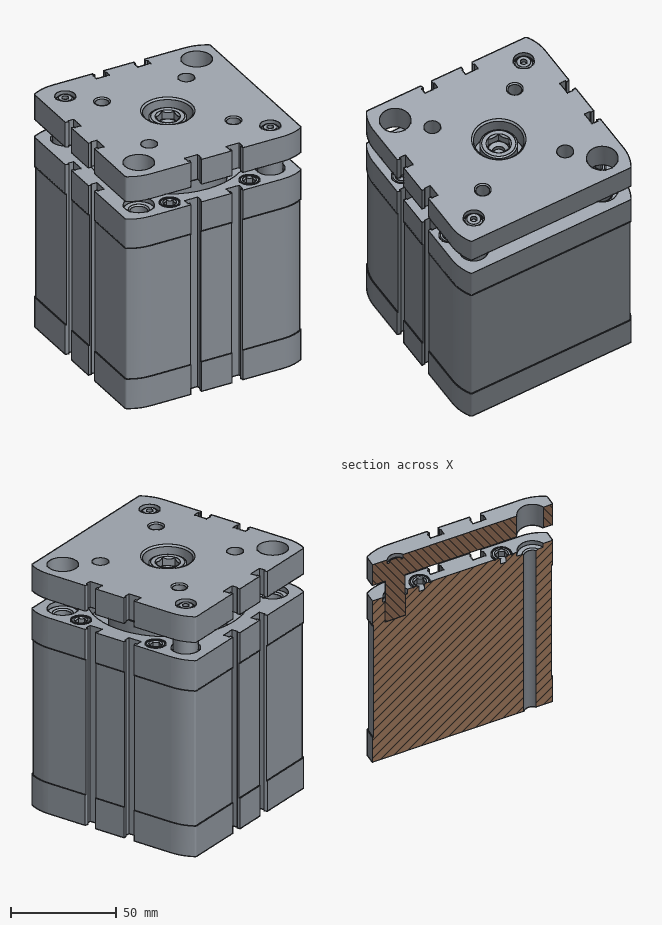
import cadquery as cq
import math


width = 95.5
half_width = width / 2
total_height = 127.4
plate_thickness = 13.6
plate_gap = 9.7
cap_height = 16.2
plate_bottom = total_height - plate_thickness
housing_height = plate_bottom - plate_gap
profile_inset = 0.5
profile_height = housing_height - 2 * cap_height

corner_arc_radius = 23.0
corner_arc_start_y = 35.75
corner_fillet_radius = 1.2

slot_spacing = 22.5
slot_depth = 4.9
slot_lip = 1.7
slot_mouth_inner_edge = 8.3
slot_mouth_outer_edge = 13.7
slot_mouth_flare = 0.5
slot_inner_width = 7.0
slot_side_angles = (-90, 0, 180)

rod_diameter = 20.0
rod_flats_width = 17.0
rod_flats_height = 7.2
rod_ledge_drop = 1.1
guide_diameter = 12.0
guide_clearance_diameter = 14.0
guide_clearance_depth = 3.0
rod_engagement = cap_height
corner_hole_offset = 35.7
guide_points = [(-corner_hole_offset, -corner_hole_offset), (corner_hole_offset, corner_hole_offset)]
mount_points = [(-corner_hole_offset, corner_hole_offset), (corner_hole_offset, -corner_hole_offset)]

mount_access_diameter = 15.0
mount_recess_diameter = 14.8
mount_recess_depth = 2.5
mount_thread_diameter = 10.0
mount_hole_diameter = 8.5

ring_groove_outer_diameter = 77.0
ring_groove_inner_diameter = 56.0
ring_groove_depth = 15.0

plate_hole_offset = 22.9
plate_hole_diameter = 8.0
plate_thread_diameter = 6.65
tapped_points = [(-plate_hole_offset, -plate_hole_offset), (plate_hole_offset, plate_hole_offset)]
dowel_points = [(-plate_hole_offset, plate_hole_offset), (plate_hole_offset, -plate_hole_offset)]

recess_diameter = 24.0
recess_depth = 11.0
recess_chamfer = 0.9
screw_head_diameter = 18.0
screw_head_sink = 3.0
screw_head_top_diameter = 16.2
screw_head_bevel_height = 0.5
screw_socket_flats = 10.0
screw_socket_depth = 4.5
screw_socket_rim_diameter = 12.0
screw_funnel_depth = 1.2
screw_bore_diameter = 6.0
screw_bore_depth = 2.0
drill_point_half_angle = 59.0

guide_recess_diameter = 10.0
guide_recess_depth = 2.5
guide_head_diameter = 8.38
guide_head_top_diameter = 6.65
guide_head_sink = 0.8
guide_socket_diameter = 3.2
guide_socket_depth = 2.0

cap_screw_x = 40.6
cap_screw_y = 21.65
cap_screw_diameter = 10.0
cap_screw_groove = 0.7
cap_screw_socket_flats = 5.0
cap_screw_socket_rim_diameter = 6.6
cap_screw_socket_depth = 4.0
cap_screw_points = [(sx * cap_screw_x, sy * cap_screw_y) for sx in (-1, 1) for sy in (-1, 1)]


def cylinders(points, diameter, bottom, height):
    return cq.Workplane("XY", origin=(0, 0, bottom)).pushPoints(points).circle(diameter / 2).extrude(height)


def cones(points, bottom_diameter, top_diameter, bottom, height):
    cone = cq.Solid.makeCone(bottom_diameter / 2, top_diameter / 2, height)
    return cq.Workplane("XY", origin=(0, 0, bottom)).pushPoints(points).eachpoint(cone.moved, combine=True)


def hex_sockets(points, flats, top, depth):
    across_corners = flats / math.cos(math.pi / 6)
    sketch = cq.Workplane("XY", origin=(0, 0, top)).pushPoints(points)
    return sketch.polygon(6, across_corners).extrude(-depth)


def block(bottom, height, inset=0.0):
    """Square block whose X sides curve in towards the corners."""
    arc_end_angle = math.asin((half_width - corner_arc_start_y) / corner_arc_radius)
    arc_centre_x = half_width - corner_arc_radius

    def arc_point(angle):
        return (
            arc_centre_x + corner_arc_radius * math.cos(angle),
            corner_arc_start_y + corner_arc_radius * math.sin(angle),
        )

    start, middle, end = (arc_point(share * arc_end_angle) for share in (0, 0.5, 1))

    def mirrored(point, sx, sy):
        return (sx * point[0], sy * point[1])

    outline = (
        cq.Workplane("XY", origin=(0, 0, bottom))
        .moveTo(*mirrored(start, 1, -1))
        .lineTo(*start)
        .threePointArc(middle, end)
        .lineTo(*mirrored(end, -1, 1))
        .threePointArc(mirrored(middle, -1, 1), mirrored(start, -1, 1))
        .lineTo(*mirrored(start, -1, -1))
        .threePointArc(mirrored(middle, -1, -1), mirrored(end, -1, -1))
        .lineTo(*mirrored(end, 1, -1))
        .threePointArc(mirrored(middle, 1, -1), mirrored(start, 1, -1))
        .close()
    )
    if inset:
        outline = outline.offset2D(-inset)
    solid = outline.extrude(height)
    return solid.faces("<Y or >Y").edges("|Z").fillet(corner_fillet_radius)


def slots(bottom, height):
    """T-slots, two on each slotted side, as one cutter."""
    floor_x = half_width - slot_depth
    lip_x = half_width - slot_lip
    chamber_inner_y = (slot_spacing - slot_inner_width) / 2
    chamber_outer_y = (slot_spacing + slot_inner_width) / 2
    slot = (
        cq.Workplane("XY", origin=(0, 0, bottom))
        .moveTo(floor_x, chamber_inner_y)
        .lineTo(lip_x, chamber_inner_y)
        .lineTo(lip_x, slot_mouth_inner_edge)
        .lineTo(half_width, slot_mouth_inner_edge)
        .lineTo(half_width, slot_mouth_outer_edge + slot_mouth_flare)
        .lineTo(lip_x, slot_mouth_outer_edge)
        .lineTo(lip_x, chamber_outer_y)
        .lineTo(floor_x, chamber_outer_y)
        .close()
        .extrude(height)
    )
    pair = slot.add(slot.mirror("XZ")).combine()
    cutter = cq.Workplane("XY")
    for angle in slot_side_angles:
        cutter = cutter.add(pair.rotate((0, 0, 0), (0, 0, 1), angle))
    return cutter.combine()


def make_housing():
    body = block(0, cap_height)
    body = body.union(block(cap_height, profile_height, profile_inset))
    body = body.union(block(cap_height + profile_height, cap_height))
    body = body.cut(slots(0, housing_height))

    rod_end = housing_height - rod_engagement
    body = body.cut(cylinders([(0, 0)], rod_diameter, rod_end, rod_engagement))
    body = body.cut(cylinders(guide_points, guide_diameter, rod_end, rod_engagement))
    clearance_floor = housing_height - guide_clearance_depth
    body = body.cut(cylinders(guide_points, guide_clearance_diameter, clearance_floor, guide_clearance_depth))

    groove_floor = housing_height - ring_groove_depth
    ring = cylinders([(0, 0)], ring_groove_outer_diameter, groove_floor, ring_groove_depth)
    hub = cylinders([(0, 0)], ring_groove_inner_diameter, groove_floor, ring_groove_depth)
    body = body.cut(ring.cut(hub))

    recess_floor = housing_height - mount_recess_depth
    countersink = (mount_thread_diameter - mount_hole_diameter) / 2
    body = body.cut(cylinders(mount_points, mount_hole_diameter, 0, housing_height))
    body = body.cut(cylinders(mount_points, mount_recess_diameter, recess_floor, mount_recess_depth))
    countersink_floor = recess_floor - countersink
    body = body.cut(
        cones(mount_points, mount_hole_diameter, mount_thread_diameter, countersink_floor, countersink)
    )

    head_base = housing_height - cap_screw_groove
    head_top_diameter = cap_screw_diameter - 2 * cap_screw_groove
    heads = cones(cap_screw_points, cap_screw_diameter, head_top_diameter, head_base, cap_screw_groove)
    grooves = cylinders(cap_screw_points, cap_screw_diameter, head_base, cap_screw_groove).cut(heads)
    body = body.cut(grooves)
    rim_depth = (cap_screw_socket_rim_diameter - cap_screw_socket_flats) / 2
    rim_floor = housing_height - rim_depth
    body = body.cut(
        cones(cap_screw_points, cap_screw_socket_flats, cap_screw_socket_rim_diameter, rim_floor, rim_depth)
    )
    return body.cut(
        hex_sockets(cap_screw_points, cap_screw_socket_flats, housing_height, cap_screw_socket_depth)
    )


def rod_flat_cutter():
    """Cuts one wrench flat on the -Y side; its ledge slopes down to the outside."""
    flat_y = -rod_flats_width / 2
    edge_y = -rod_diameter / 2
    ledge_z = plate_bottom - rod_flats_height
    return (
        cq.Workplane("YZ", origin=(-rod_diameter / 2, 0, 0))
        .moveTo(flat_y, plate_bottom)
        .lineTo(flat_y, ledge_z)
        .lineTo(edge_y, ledge_z - rod_ledge_drop)
        .lineTo(edge_y, plate_bottom)
        .close()
        .extrude(rod_diameter)
    )


def make_rods():
    rod_end = housing_height - rod_engagement
    length = plate_bottom - rod_end
    flat = rod_flat_cutter()
    piston_rod = cylinders([(0, 0)], rod_diameter, rod_end, length)
    piston_rod = piston_rod.cut(flat).cut(flat.mirror("XZ"))
    return piston_rod, cylinders(guide_points, guide_diameter, rod_end, length)


def cut_centre_screw(body):
    """Chamfered recess with a socket-head screw standing in it."""
    centre = [(0, 0)]
    head_top = total_height - screw_head_sink
    recess_floor = total_height - recess_depth
    body = body.cut(cylinders(centre, recess_diameter, recess_floor, recess_depth))
    rim_diameter = recess_diameter + 2 * recess_chamfer
    chamfer_base = total_height - recess_chamfer
    body = body.cut(cones(centre, recess_diameter, rim_diameter, chamfer_base, recess_chamfer))

    bevel_base = head_top - screw_head_bevel_height
    body = body.union(cylinders(centre, screw_head_diameter, recess_floor, bevel_base - recess_floor))
    body = body.union(
        cones(centre, screw_head_diameter, screw_head_top_diameter, bevel_base, screw_head_bevel_height)
    )

    socket_floor = head_top - screw_socket_depth
    body = body.cut(hex_sockets(centre, screw_socket_flats, head_top, screw_socket_depth))
    rim_depth = (screw_socket_rim_diameter - screw_socket_flats) / 2
    body = body.cut(
        cones(centre, screw_socket_flats, screw_socket_rim_diameter, head_top - rim_depth, rim_depth)
    )
    bore_top = socket_floor - screw_funnel_depth
    body = body.cut(cones(centre, screw_bore_diameter, screw_socket_flats, bore_top, screw_funnel_depth))
    bore_floor = bore_top - screw_bore_depth
    body = body.cut(cylinders(centre, screw_bore_diameter, bore_floor, screw_bore_depth))
    tip_depth = screw_bore_diameter / 2 / math.tan(math.radians(drill_point_half_angle))
    return body.cut(cones(centre, 0, screw_bore_diameter, bore_floor - tip_depth, tip_depth))


def cut_plate_holes(body):
    body = body.cut(cylinders(mount_points, mount_access_diameter, plate_bottom, plate_thickness))
    body = body.cut(cylinders(dowel_points, plate_hole_diameter, plate_bottom, plate_thickness))
    body = body.cut(cylinders(tapped_points, plate_thread_diameter, plate_bottom, plate_thickness))
    countersink = (plate_hole_diameter - plate_thread_diameter) / 2
    countersink_floor = total_height - countersink
    return body.cut(
        cones(tapped_points, plate_thread_diameter, plate_hole_diameter, countersink_floor, countersink)
    )


def cut_guide_screws(body):
    """Recess above each guide rod, with a bevelled screw head standing in it."""
    recess_floor = total_height - guide_recess_depth
    head_top = total_height - guide_head_sink
    bevel_height = (guide_head_diameter - guide_head_top_diameter) / 2
    bevel_base = head_top - bevel_height
    body = body.cut(cylinders(guide_points, guide_recess_diameter, recess_floor, guide_recess_depth))
    body = body.union(cylinders(guide_points, guide_head_diameter, recess_floor, bevel_base - recess_floor))
    body = body.union(
        cones(guide_points, guide_head_diameter, guide_head_top_diameter, bevel_base, bevel_height)
    )
    socket_floor = head_top - guide_socket_depth
    return body.cut(cylinders(guide_points, guide_socket_diameter, socket_floor, guide_socket_depth))


def make_yoke():
    plate = block(plate_bottom, plate_thickness)
    plate = plate.cut(slots(plate_bottom, plate_thickness))
    plate = cut_plate_holes(plate)
    piston_rod, guide_rods = make_rods()
    body = plate.union(piston_rod).union(guide_rods)
    body = cut_guide_screws(body)
    return cut_centre_screw(body)


housing = make_housing()
yoke = make_yoke()
result = cq.Compound.makeCompound([housing.val(), yoke.val()])